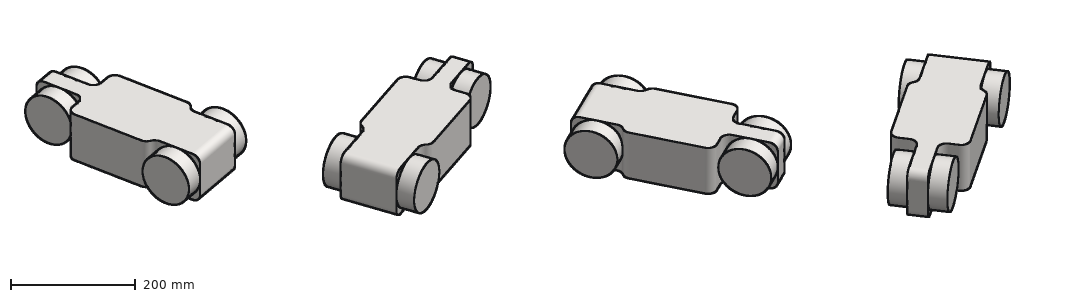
import cadquery as cq
import math

length = 340.0
wheel_diameter = 90.0
wheel_width = 32.0
tongue_width = 34.0
body_width = 130.0
neck_width = 100.0
body_offset = 92.0
step_offset = 249.0
corner_radius = 15.0

x_min = -length / 2
x_max = length / 2
x_shoulder = x_min + body_offset
x_step = x_min + step_offset
wheel_radius = wheel_diameter / 2
tongue_half = tongue_width / 2
body_half = body_width / 2
neck_half = neck_width / 2

step_mid_y = (body_half + neck_half) / 2
arc_angle = math.acos(1 - (body_half - step_mid_y) / corner_radius)
arc_run = corner_radius * math.sin(arc_angle)


def half_plate():
    """+Y half of the plate, with its corner blends."""
    r = corner_radius
    outline = (
        cq.Workplane("XY", origin=(0, 0, -wheel_radius))
        .moveTo(x_min, 0)
        .lineTo(x_min, tongue_half)
        .lineTo(x_shoulder - r, tongue_half)
        .radiusArc((x_shoulder, tongue_half + r), -r)
        .lineTo(x_shoulder, body_half - r)
        .radiusArc((x_shoulder + r, body_half), r)
        .lineTo(x_step - arc_run, body_half)
        .radiusArc((x_step, step_mid_y), r)
        .radiusArc((x_step + arc_run, neck_half), -r)
        .lineTo(x_max, neck_half)
        .lineTo(x_max, 0)
        .close()
    )
    return outline.extrude(wheel_diameter)


def plate():
    """Full plate with its top and bottom end edges rounded."""
    half = half_plate()
    whole = half.union(half.mirror("XZ")).clean()
    return whole.faces("<X or >X").edges("|Y").fillet(corner_radius)


def wheel_pair(x_center, inner_half_width):
    """Two wheels on a Y axis, one against each side of the plate."""
    span = inner_half_width + wheel_width
    axle = cq.Workplane("XZ").center(x_center, 0).circle(wheel_radius)
    outer = axle.extrude(span, both=True)
    gap = cq.Workplane("XY").box(2 * length, 2 * inner_half_width, 2 * wheel_diameter)
    return outer.cut(gap)


tongue_wheels = wheel_pair(x_min + wheel_radius, tongue_half)
neck_wheels = wheel_pair(x_max - wheel_radius, neck_half)
result = plate().union(tongue_wheels).union(neck_wheels)